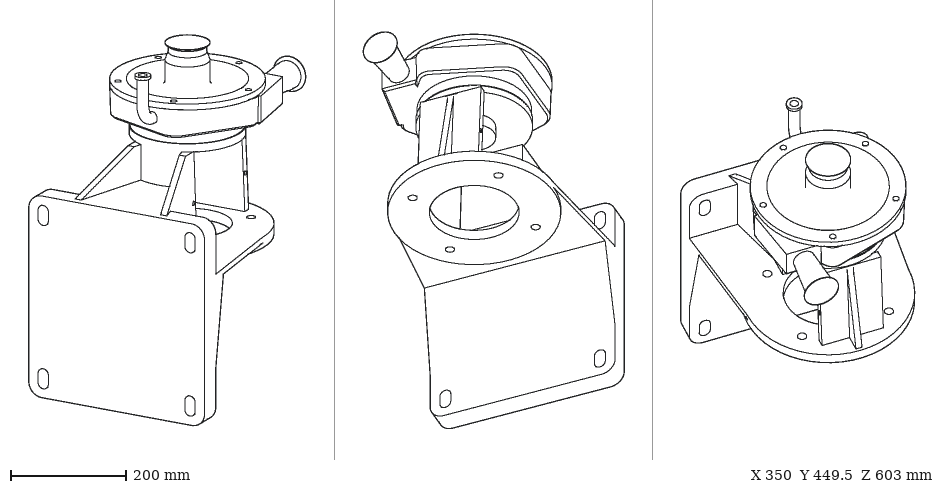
import cadquery as cq
import math


plate_width = 350.0
plate_height = 370.0
plate_front = -250.0
plate_back = -210.5
plate_corner_radius = 26.0
slot_length = 37.0
slot_width = 20.5
slot_spacing_x = 292.0
slot_spacing_z = 299.5

shelf_top = 270.0
shelf_bottom = 259.0
boss_bottom = 250.0
boss_radius = 150.0
shelf_bore_radius = 78.0
shelf_bolt_count = 4
shelf_bolt_start_angle = 45.0
shelf_bolt_circle = 114.5
shelf_bolt_radius = 8.0
wedge_reach = 34.5
wedge_foot = 96.5

drum_bottom = 435.5
leg_half_width = 57.0
front_leg_inner_top = -79.0
front_leg_inner_foot = -69.5
front_leg_corner = -108.5
back_leg_inner_top = 88.5
back_leg_inner_foot = 101.0
back_leg_thickness = 14.0
back_rib_width = 11.5
back_rib_foot = 144.0
gusset_thickness = 12.0
gusset_angle = 15.0
gusset_end = -235.0
guard_hole_radius = 3.5
guard_hole_depth = 12.0
guard_hole_height = 340.0
front_guard_hole_y = -79.5
back_guard_hole_y = 102.5

drum_radius = 99.5
drum_rim_radius = 101.5
drum_rim_top = 450.5
shaft_radius = 37.5
shaft_bottom = 413.0

casing_bottom = 471.5
casing_top = 524.5
casing_apothem = 116.5
casing_draft = 1.5
casing_corner_radius = 35.0
outlet_corner_radius = 24.0
casing_chamfer = 4.0
casing_sides = 5
flange_top = 535.5
flange_radius = 135.0
cover_bolt_circle = 121.0
cover_bolt_radius = 5.5

recess_floor = 518.5
recess_radius = 106.0
recess_cone_radius = 95.0
recess_cone_end = 523.5
recess_floor_radius = 84.0
inlet_root_fillet = 14.0

inlet_radius = 39.0
inlet_neck_radius = 34.0
inlet_shoulder = 570.0
inlet_neck_start = 585.0
inlet_top = 603.0

ferrule_rim = 2.5
ferrule_height = 6.5
ferrule_bevel_width = 4.0
ferrule_bevel_depth = 1.0

outlet_x = 91.5
outlet_z = 499.0
outlet_tip = 199.5
outlet_face = 116.0
outlet_block_half_width = 32.5
outlet_block_foot_x = 141.0
outlet_block_foot_y = 9.0
outlet_root_radius = 19.0
outlet_neck_radius = 25.5
outlet_neck_start = 183.0
outlet_ferrule_radius = 32.0

flush_radius = 10.0
flush_bore_radius = 7.0
flush_z = 501.0
flush_y = -158.0
flush_bend_radius = 34.5
flush_top = 590.0
flush_rim_radius = 14.0
flush_rim_height = 5.5
flush_root = -108.5


def cylinder(radius, bottom, top):
    return cq.Workplane("XY").workplane(offset=bottom).circle(radius).extrude(top - bottom)


def side_profile(points, half_width):
    """Extrude a (Y, Z) outline symmetrically along X."""
    return cq.Workplane("YZ").polyline(points).close().extrude(half_width, both=True)


def bolt_holes(count, circle_radius, hole_radius, start_angle, bottom, top):
    return (
        cq.Workplane("XY").workplane(offset=bottom)
        .polarArray(circle_radius, start_angle, 360, count)
        .circle(hole_radius).extrude(top - bottom)
    )


def mounting_plate():
    mid_height = plate_height / 2
    depth = plate_back - plate_front
    face = cq.Workplane("XZ", origin=(0, plate_back, mid_height))
    plate = face.rect(plate_width, plate_height).extrude(depth).edges("|Y").fillet(plate_corner_radius)
    slots = (
        face.rect(slot_spacing_x, slot_spacing_z, forConstruction=True).vertices()
        .slot2D(slot_length, slot_width, 90).extrude(depth)
    )
    return plate.cut(slots)


def shelf():
    half_width = plate_width / 2
    outline = [(-boss_radius, 0), (-half_width, plate_back), (half_width, plate_back), (boss_radius, 0)]
    flat = cq.Workplane("XY").workplane(offset=shelf_bottom).polyline(outline).close()
    body = flat.extrude(shelf_top - shelf_bottom).union(cylinder(boss_radius, boss_bottom, shelf_top))
    body = body.cut(cylinder(shelf_bore_radius, boss_bottom, shelf_top))
    body = body.cut(bolt_holes(
        shelf_bolt_count, shelf_bolt_circle, shelf_bolt_radius, shelf_bolt_start_angle, boss_bottom, shelf_top
    ))

    wedge_outline = [(plate_back, shelf_bottom), (plate_back, wedge_foot),
                     (plate_back + wedge_reach, shelf_bottom)]
    wedge = side_profile(wedge_outline, half_width)
    column = cq.Workplane("XY").polyline(outline).close().extrude(shelf_top)
    return body.union(wedge.intersect(column))


def back_leg():
    leg = side_profile([
        (back_leg_inner_foot, shelf_top),
        (back_leg_inner_top, drum_bottom),
        (back_leg_inner_top + back_leg_thickness, drum_bottom),
        (back_leg_inner_foot + back_leg_thickness, shelf_top),
    ], leg_half_width)
    rib = side_profile([
        (back_leg_inner_foot, shelf_top),
        (back_leg_inner_top, drum_bottom),
        (drum_rim_radius, drum_bottom),
        (back_rib_foot, shelf_top),
    ], back_rib_width / 2)
    return leg.union(rib)


def front_leg():
    """Curved leg with its two splayed gussets, trimmed to the lean and the sloping top."""
    lean = side_profile([
        (front_leg_inner_foot, shelf_top),
        (front_leg_inner_top, drum_bottom),
        (gusset_end, drum_bottom),
        (gusset_end, shelf_top),
    ], plate_width / 2)
    slope = side_profile([
        (0, shelf_top),
        (0, drum_bottom),
        (front_leg_corner, drum_bottom),
        (gusset_end, plate_height),
        (gusset_end, shelf_top),
    ], plate_width / 2)

    spread = math.tan(math.radians(gusset_angle))
    inset = gusset_thickness / math.cos(math.radians(gusset_angle))
    end_x = leg_half_width + (front_leg_corner - gusset_end) * spread
    inner_corner_x = leg_half_width - inset
    root_x = inner_corner_x + (front_leg_corner - front_leg_inner_foot) * spread
    gusset = (
        cq.Workplane("XY").workplane(offset=shelf_top)
        .moveTo(leg_half_width, front_leg_inner_foot)
        .lineTo(leg_half_width, front_leg_corner)
        .lineTo(end_x, gusset_end)
        .lineTo(end_x - inset, gusset_end)
        .lineTo(root_x, front_leg_inner_foot)
        .close().extrude(drum_bottom - shelf_top)
    )
    core = cylinder(drum_rim_radius, shelf_top, drum_bottom).intersect(
        cq.Workplane("XY").workplane(offset=shelf_top)
        .rect(2 * leg_half_width, 2 * boss_radius).extrude(drum_bottom - shelf_top)
    )
    step = (
        cq.Workplane("XY").workplane(offset=shelf_top)
        .moveTo(-root_x, front_leg_inner_foot)
        .lineTo(root_x, front_leg_inner_foot)
        .lineTo(end_x - inset, gusset_end)
        .lineTo(inset - end_x, gusset_end)
        .close().extrude(plate_height - shelf_top)
    )
    leg = core.union(gusset).union(gusset.mirror("YZ")).union(step)
    return leg.intersect(lean).intersect(slope)


def guard_holes():
    """Blind holes in the side faces of both legs."""
    hole_floor = leg_half_width - guard_hole_depth
    holes = (
        cq.Workplane("YZ").workplane(offset=hole_floor)
        .pushPoints([(front_guard_hole_y, guard_hole_height), (back_guard_hole_y, guard_hole_height)])
        .circle(guard_hole_radius).extrude(guard_hole_depth)
    )
    return holes.union(holes.mirror("YZ"))


def drum_and_shaft():
    drum = cylinder(drum_radius, drum_rim_top, casing_bottom)
    rim = cylinder(drum_rim_radius, drum_bottom, drum_rim_top)
    return drum.union(rim).union(cylinder(shaft_radius, shaft_bottom, drum_bottom))


def casing():
    """Drafted pentagon with the outlet block, open in the middle for the cover."""
    height = casing_top - casing_bottom
    corner_distance = casing_apothem / math.cos(math.pi / casing_sides)
    pentagon = (
        cq.Workplane("XY").workplane(offset=casing_top)
        .polygon(casing_sides, 2 * corner_distance).extrude(-height, taper=casing_draft)
    )
    outlet_side = cq.selectors.BoxSelector(
        (0, -6, casing_bottom), (corner_distance, corner_distance, casing_top)
    )
    upright_edges = pentagon.edges("not(#Z)")
    other_edges = upright_edges.edges(-outlet_side)
    pentagon = pentagon.newObject(other_edges.vals()).fillet(casing_corner_radius)
    outlet_edges = pentagon.edges("not(#Z)").edges(outlet_side)
    pentagon = pentagon.newObject(outlet_edges.vals()).fillet(outlet_corner_radius)
    pentagon = pentagon.faces("<Z").chamfer(casing_chamfer)

    block = (
        cq.Workplane("XY").workplane(offset=casing_bottom)
        .moveTo(outlet_x - outlet_block_half_width, 0)
        .lineTo(outlet_x - outlet_block_half_width, outlet_face)
        .lineTo(outlet_x + outlet_block_half_width, outlet_face)
        .lineTo(outlet_block_foot_x, outlet_block_foot_y)
        .lineTo(outlet_x, 0)
        .close().extrude(height)
        .faces("<Z").chamfer(casing_chamfer)
    )
    return pentagon.union(block).cut(cylinder(recess_radius, casing_bottom, casing_top))


def cover():
    """Cover flange with its dished recess and the solid inlet pipe."""
    profile = (
        cq.Workplane("XZ")
        .moveTo(0, casing_bottom)
        .lineTo(recess_radius, casing_bottom)
        .lineTo(recess_radius, casing_top)
        .lineTo(flange_radius, casing_top)
        .lineTo(flange_radius, flange_top)
        .lineTo(recess_radius, flange_top)
        .lineTo(recess_cone_radius, recess_cone_end)
        .tangentArcPoint((recess_floor_radius, recess_floor), relative=False)
        .lineTo(inlet_radius + inlet_root_fillet, recess_floor)
        .tangentArcPoint((inlet_radius, recess_floor + inlet_root_fillet), relative=False)
        .lineTo(inlet_radius, inlet_shoulder)
        .lineTo(inlet_neck_radius, inlet_neck_start)
        .lineTo(inlet_neck_radius, inlet_top - ferrule_height)
        .lineTo(inlet_radius, inlet_top - ferrule_rim)
        .lineTo(inlet_radius, inlet_top - ferrule_bevel_depth)
        .lineTo(inlet_radius - ferrule_bevel_width, inlet_top)
        .lineTo(0, inlet_top)
        .close()
    )
    return profile.revolve(360, (0, 0, 0), (0, 1, 0))


def outlet_nozzle():
    profile = (
        cq.Workplane("XY", origin=(outlet_x, 0, outlet_z))
        .moveTo(0, outlet_face - casing_chamfer)
        .lineTo(outlet_root_radius, outlet_face - casing_chamfer)
        .lineTo(outlet_root_radius, outlet_face)
        .lineTo(outlet_neck_radius, outlet_neck_start)
        .lineTo(outlet_neck_radius, outlet_tip - ferrule_height)
        .lineTo(outlet_ferrule_radius, outlet_tip - ferrule_rim)
        .lineTo(outlet_ferrule_radius, outlet_tip - ferrule_bevel_depth)
        .lineTo(outlet_ferrule_radius - ferrule_bevel_width, outlet_tip)
        .lineTo(0, outlet_tip)
        .close()
    )
    return profile.revolve(360, (0, 0, 0), (0, 1, 0))


def flush_sweep(radius):
    """Round bar along the flush pipe: out of the casing, round the bend and up."""
    bend_start = flush_y + flush_bend_radius
    path = (
        cq.Workplane("YZ")
        .moveTo(flush_root, flush_z)
        .lineTo(bend_start, flush_z)
        .tangentArcPoint((flush_y, flush_z + flush_bend_radius), relative=False)
        .lineTo(flush_y, flush_top)
    )
    return cq.Workplane("XZ", origin=(0, flush_root, flush_z)).circle(radius).sweep(path)


def flush_pipe():
    rim = cylinder(flush_rim_radius, flush_top - flush_rim_height, flush_top).translate((0, flush_y, 0))
    return flush_sweep(flush_radius).union(rim)


stand = mounting_plate().union(shelf()).union(back_leg()).union(front_leg()).cut(guard_holes())
pump = drum_and_shaft().union(casing()).union(cover())
cover_bolts = bolt_holes(casing_sides, cover_bolt_circle, cover_bolt_radius, 0, casing_top, flange_top)
pump = pump.cut(cover_bolts).union(outlet_nozzle())
pump = pump.union(flush_pipe()).cut(flush_sweep(flush_bore_radius))
result = stand.union(pump)